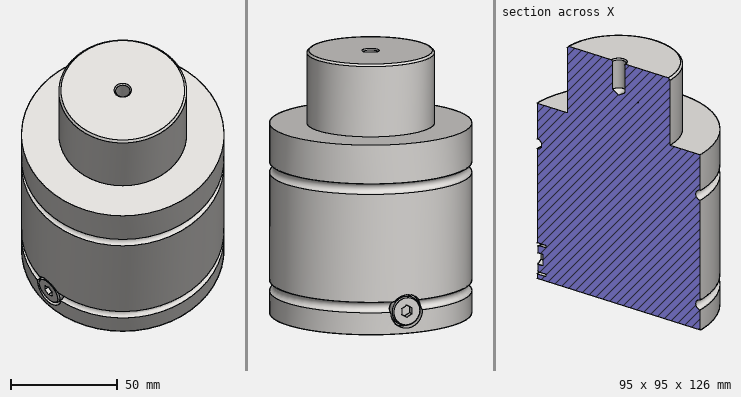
import cadquery as cq

total_height = 126.0
body_diameter = 95.0
shoulder_height = 91.2
rod_diameter = 60.0
rod_chamfer = 1.0

groove_radius = 2.5
groove_heights = (13.1, 70.0)

thread_hole_diameter = 6.8
thread_mouth_diameter = 8.1
thread_hole_depth = 15.1
drill_tip_depth = 2.0

port_height = 10.6
port_diameter = 16.0
port_depth = 5.0
plug_diameter = 14.0
plug_recess = 0.4
plug_chamfer_length = 0.9
plug_chamfer_width = 0.5
socket_across_flats = 5.0
socket_depth = 3.0

body_radius = body_diameter / 2


def make_body():
    """Stepped cylinder with a chamfered rod end."""
    body = cq.Workplane("XY").circle(body_radius).extrude(shoulder_height)
    rod = (
        cq.Workplane("XY")
        .circle(rod_diameter / 2)
        .extrude(total_height)
        .faces(">Z")
        .chamfer(rod_chamfer)
    )
    return body.union(rod)


def make_groove(height):
    """Ring that cuts a half-round groove centred on the body surface."""
    return (
        cq.Workplane("XZ")
        .center(body_radius, height)
        .circle(groove_radius)
        .revolve(360, (-body_radius, 0), (-body_radius, 1))
    )


def make_thread_hole():
    """Blind hole with a countersunk mouth and a conical drill tip."""
    hole_radius = thread_hole_diameter / 2
    mouth_radius = thread_mouth_diameter / 2
    mouth_depth = mouth_radius - hole_radius
    hole_bottom = total_height - thread_hole_depth
    return (
        cq.Workplane("XZ")
        .moveTo(0, total_height)
        .lineTo(mouth_radius, total_height)
        .lineTo(hole_radius, total_height - mouth_depth)
        .lineTo(hole_radius, hole_bottom)
        .lineTo(0, hole_bottom - drill_tip_depth)
        .close()
        .revolve(360, (0, 0), (0, 1))
    )


def radial_plane(inset):
    """Plane facing -Y at the port axis, set in from the body surface."""
    return cq.Workplane("XZ", origin=(0, inset - body_radius, port_height))


def make_plug():
    """Chamfered round plug with a hexagonal key socket in its flat face."""
    plug = (
        radial_plane(plug_recess)
        .circle(plug_diameter / 2)
        .extrude(-port_depth)
        .faces("<Y")
        .edges()
        .chamfer(plug_chamfer_length, plug_chamfer_width)
    )
    socket = (
        radial_plane(plug_recess)
        .polygon(6, socket_across_flats, circumscribed=True)
        .extrude(-socket_depth)
    )
    return plug.cut(socket)


result = make_body()
for groove_height in groove_heights:
    result = result.cut(make_groove(groove_height))
result = result.cut(make_thread_hole())
port = radial_plane(0).circle(port_diameter / 2).extrude(-port_depth)
result = result.cut(port).union(make_plug())